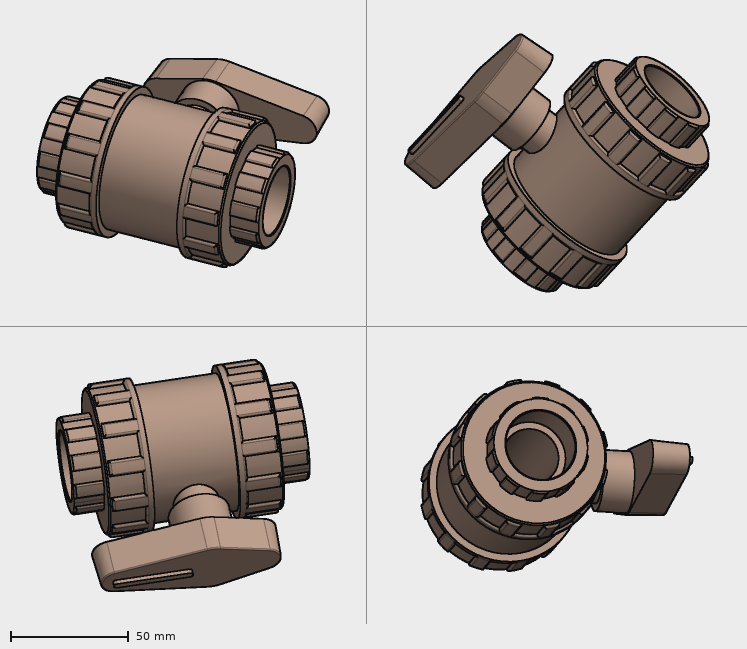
import cadquery as cq
import math


half_length = 51.0
body_diameter = 59.4
bore_diameter = 24.3
socket_diameter = 30.3
socket_depth = 19.2
socket_chamfer = 0.4
pipe_end_diameter = 40.8

rib_root_depth = 1.0

pipe_rib_count = 10
pipe_rib_height = 0.8
pipe_rib_width = 6.8
pipe_rib_flank_round = 0.7
pipe_rib_end_slope = 1.0

nut_inner_x = 18.6
nut_outer_x = 37.9
nut_diameter = 63.3
nut_chamfer = 0.7
rim_diameter = 66.0
rim_wall_x = 22.1
nut_rib_count = 12
nut_rib_end_x = 36.4
nut_rib_width = 6.7
nut_rib_flank_round = 1.0
nut_end_round = 1.0

stem_diameter = 19.8
hub_diameter = 26.4
hub_start_y = 36.0

handle_start_y = 49.5
handle_top_y = 65.9
handle_draft = 3.0
handle_middle_radius = 14.02
handle_end_radius = 7.5
handle_short_reach = 30.8
handle_long_reach = 48.9
handle_edge_fillet = 0.6

strip_start_x = 8.6
strip_end_x = 42.8
strip_width = 2.7
strip_height = 2.1


def rod_along_x(diameter, start_x, end_x):
    """Cylinder on the pipe axis."""
    return cq.Workplane("YZ", origin=(start_x, 0, 0)).circle(diameter / 2).extrude(end_x - start_x)


def rod_along_y(diameter, start_y, end_y):
    """Cylinder on the stem axis."""
    return cq.Workplane("XZ", origin=(0, start_y, 0)).circle(diameter / 2).extrude(start_y - end_y)


def turned(profile):
    """Solid of revolution about the pipe axis from an open profile that ends on the axis."""
    return profile.close().revolve(360, (0, 0, 0), (1, 0, 0))


def rib_ring(count, first_angle, base_radius, top_radius, width, flank_round, envelope):
    """Ring of ribs with rounded flanks, cut to length by an envelope of revolution."""
    rib = (
        cq.Workplane("XY", origin=(0, 0, base_radius - rib_root_depth))
        .rect(2 * half_length, width)
        .extrude(top_radius)
        .intersect(rod_along_x(2 * top_radius, -half_length, half_length))
    )
    rib = rib.faces(">Z").edges("|X").fillet(flank_round).intersect(envelope)
    return [rib.rotate((0, 0, 0), (1, 0, 0), first_angle + i * 360 / count).val() for i in range(count)]


def add_all(solid, extras):
    """Join every extra shape to the solid in one step and merge faces that run on."""
    return cq.Workplane(solid.val().fuse(*extras).clean())


def make_pipe_end():
    """Ribbed pipe end on the +X side."""
    radius = pipe_end_diameter / 2
    rib_radius = radius + pipe_rib_height
    rib_envelope = (
        cq.Workplane("XY")
        .moveTo(nut_outer_x - nut_chamfer, 0)
        .lineTo(nut_outer_x - nut_chamfer, rib_radius)
        .lineTo(half_length - pipe_rib_end_slope, rib_radius)
        .lineTo(half_length, radius)
        .lineTo(half_length, 0)
    )
    ribs = rib_ring(
        pipe_rib_count, 0, radius, rib_radius, pipe_rib_width, pipe_rib_flank_round, turned(rib_envelope)
    )
    return add_all(rod_along_x(pipe_end_diameter, 0, half_length), ribs)


def make_nut():
    """Union nut on the +X side with a round-edged rim at its inner end."""
    nut_radius = nut_diameter / 2
    rim_radius = rim_diameter / 2
    shoulder = rim_radius - nut_end_round
    profile = (
        cq.Workplane("XY")
        .moveTo(nut_inner_x, 0)
        .lineTo(nut_inner_x, rim_radius)
        .lineTo(rim_wall_x - nut_end_round, rim_radius)
        .radiusArc((rim_wall_x, shoulder), nut_end_round)
        .lineTo(rim_wall_x, nut_radius)
        .lineTo(nut_outer_x - nut_chamfer, nut_radius)
        .lineTo(nut_outer_x, nut_radius - nut_chamfer)
        .lineTo(nut_outer_x, 0)
    )
    rib_envelope = (
        cq.Workplane("XY")
        .moveTo(rim_wall_x - nut_end_round, 0)
        .lineTo(rim_wall_x - nut_end_round, rim_radius)
        .lineTo(nut_rib_end_x - nut_end_round, rim_radius)
        .radiusArc((nut_rib_end_x, shoulder), nut_end_round)
        .lineTo(nut_rib_end_x, 0)
    )
    ribs = rib_ring(
        nut_rib_count, 180 / nut_rib_count, nut_radius, rim_radius, nut_rib_width, nut_rib_flank_round,
        turned(rib_envelope),
    )
    return add_all(turned(profile), ribs)


def make_socket():
    """Stepped pipe socket with a chamfered mouth on the +X side."""
    radius = socket_diameter / 2
    profile = (
        cq.Workplane("XY")
        .moveTo(half_length - socket_depth, 0)
        .lineTo(half_length - socket_depth, radius)
        .lineTo(half_length - socket_chamfer, radius)
        .lineTo(half_length, radius + socket_chamfer)
        .lineTo(half_length, 0)
    )
    return turned(profile)


def make_handle():
    """Drafted lever with a wide middle, two round ends and a raised strip."""
    radius_step = handle_middle_radius - handle_end_radius
    short_centre = handle_short_reach - handle_end_radius
    long_centre = handle_long_reach - handle_end_radius
    short_angle = math.asin(radius_step / short_centre)
    long_angle = math.asin(radius_step / long_centre)

    def short_tangent(centre, radius, side):
        return (centre - radius * math.sin(short_angle), side * radius * math.cos(short_angle))

    def long_tangent(centre, radius, side):
        return (centre + radius * math.sin(long_angle), side * radius * math.cos(long_angle))

    outline = (
        cq.Workplane("XZ", origin=(0, handle_start_y, 0))
        .moveTo(*short_tangent(-short_centre, handle_end_radius, 1))
        .lineTo(*short_tangent(0, handle_middle_radius, 1))
        .threePointArc((0, handle_middle_radius), long_tangent(0, handle_middle_radius, 1))
        .lineTo(*long_tangent(long_centre, handle_end_radius, 1))
        .threePointArc((handle_long_reach, 0), long_tangent(long_centre, handle_end_radius, -1))
        .lineTo(*long_tangent(0, handle_middle_radius, -1))
        .threePointArc((0, -handle_middle_radius), short_tangent(0, handle_middle_radius, -1))
        .lineTo(*short_tangent(-short_centre, handle_end_radius, -1))
        .threePointArc((-handle_short_reach, 0), short_tangent(-short_centre, handle_end_radius, 1))
        .close()
    )
    lever = outline.extrude(handle_start_y - handle_top_y, taper=handle_draft)
    lever = lever.faces(">Y").edges().fillet(handle_edge_fillet)
    strip = (
        cq.Workplane("XZ", origin=(0, handle_top_y, 0))
        .center((strip_start_x + strip_end_x) / 2, 0)
        .slot2D(strip_end_x - strip_start_x, strip_width)
        .extrude(-strip_height)
    )
    return lever.union(strip)


body = rod_along_x(body_diameter, -nut_inner_x, nut_inner_x)
stem = rod_along_y(stem_diameter, 0, hub_start_y)
hub = rod_along_y(hub_diameter, hub_start_y, handle_start_y)
valve = body.union(stem).union(hub).union(make_handle())

side = make_pipe_end().union(make_nut()).cut(make_socket())
valve = valve.union(side).union(side.mirror("YZ"))

result = valve.cut(rod_along_x(bore_diameter, -half_length, half_length))